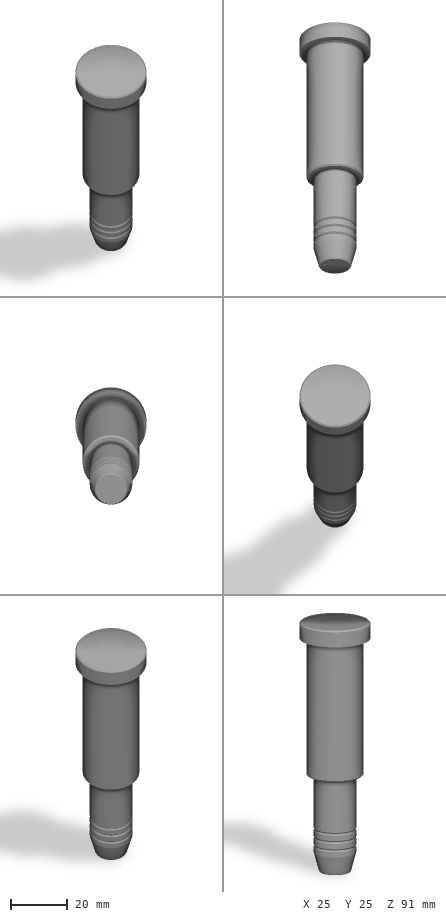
import cadquery as cq
import math

total_length = 91.0
head_radius = 12.51
head_height = 6.0
shank_radius = 10.0
shank_bottom = 35.0
pin_radius = 7.51

edge_chamfer = 0.5
relief_depth = 0.5
relief_height = 0.8

taper_height = 7.0
taper_angle = 15.0
bevel_height = 0.5
bevel_width = 0.3

groove_width = 1.0
groove_depth = 0.5
groove_count = 3
groove_pitch = 3.0
first_groove_height = 9.5

head_bottom = total_length - head_height
bevel_radius = pin_radius - (taper_height - bevel_height) * math.tan(math.radians(taper_angle))
relief_radius = pin_radius - relief_depth
relief_bottom = shank_bottom - relief_height


def groove_points(radius, height):
    """Half-profile points of one V-groove centred at a height, from bottom to top."""
    return [
        (radius, height - groove_width / 2),
        (radius - groove_depth, height),
        (radius, height + groove_width / 2),
    ]


profile = [
    (0, 0),
    (bevel_radius - bevel_width, 0),
    (bevel_radius, bevel_height),
    (pin_radius, taper_height),
]
for index in range(groove_count):
    profile += groove_points(pin_radius, first_groove_height + index * groove_pitch)
profile += [
    (pin_radius, relief_bottom),
    (relief_radius, relief_bottom),
    (relief_radius, shank_bottom),
    (shank_radius - edge_chamfer, shank_bottom),
    (shank_radius, shank_bottom + edge_chamfer),
]
profile += groove_points(shank_radius, head_bottom - groove_width / 2)
profile += [
    (head_radius, head_bottom),
    (head_radius, total_length - edge_chamfer),
    (head_radius - edge_chamfer, total_length),
    (0, total_length),
]

result = cq.Workplane("XZ").polyline(profile).close().revolve(360, (0, 0), (0, 1))